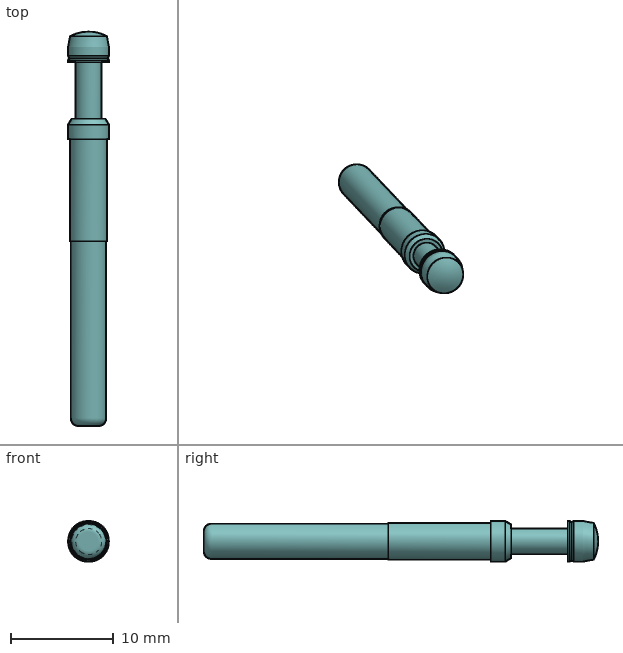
import cadquery as cq
import math

total_length = 38.5
largest_radius = 2.0

dome_height = 0.45
head_taper_end = 1.5
groove_start = 2.4
groove_bottom = 2.6
groove_end = 2.8
head_length = 3.0
collar_start = 8.5

collar_length = 2.0
sleeve_length = 11.97

dome_radius = 1.8
groove_radius = 1.9
plunger_radius = 1.27
sleeve_radius = 1.8
barrel_radius = 1.75

collar_nose_length = 0.58
collar_nose_depth = 0.35
tail_round = 0.77

crown_y = total_length / 2
tail_y = -total_length / 2
collar_front_y = crown_y - collar_start
collar_back_y = collar_front_y - collar_length
sleeve_end_y = collar_front_y - sleeve_length


def cylinder_along_y(radius, start_y, end_y):
    """Cylinder on the Y axis that runs from start_y down to end_y."""
    return cq.Workplane("XZ", origin=(0, start_y, 0)).circle(radius).extrude(start_y - end_y)


def make_head():
    """Domed and slightly tapered head with a shallow V groove above its rear rim."""
    dome_base_y = crown_y - dome_height
    sphere_radius = (dome_radius**2 + dome_height**2) / (2 * dome_height)
    arc_mid_x = dome_radius / 2
    arc_mid_y = crown_y - sphere_radius + math.sqrt(sphere_radius**2 - arc_mid_x**2)
    head_base_y = crown_y - head_length
    return (
        cq.Workplane("XY")
        .moveTo(0, crown_y)
        .threePointArc((arc_mid_x, arc_mid_y), (dome_radius, dome_base_y))
        .lineTo(largest_radius, crown_y - head_taper_end)
        .lineTo(largest_radius, crown_y - groove_start)
        .lineTo(groove_radius, crown_y - groove_bottom)
        .lineTo(largest_radius, crown_y - groove_end)
        .lineTo(largest_radius, head_base_y)
        .lineTo(0, head_base_y)
        .close()
        .revolve(360, (0, 0, 0), (0, 1, 0))
    )


def make_collar():
    """Collar with a conical front edge."""
    collar = cylinder_along_y(largest_radius, collar_front_y, collar_back_y)
    return collar.faces(">Y").edges().chamfer(collar_nose_length, collar_nose_depth)


def make_barrel():
    """Long barrel with a rounded tail."""
    barrel = cylinder_along_y(barrel_radius, collar_back_y, tail_y)
    return barrel.faces("<Y").edges().fillet(tail_round)


plunger = cylinder_along_y(plunger_radius, crown_y - head_length, collar_front_y)
sleeve = cylinder_along_y(sleeve_radius, collar_back_y, sleeve_end_y)

result = make_head().union(plunger).union(make_collar()).union(sleeve).union(make_barrel())